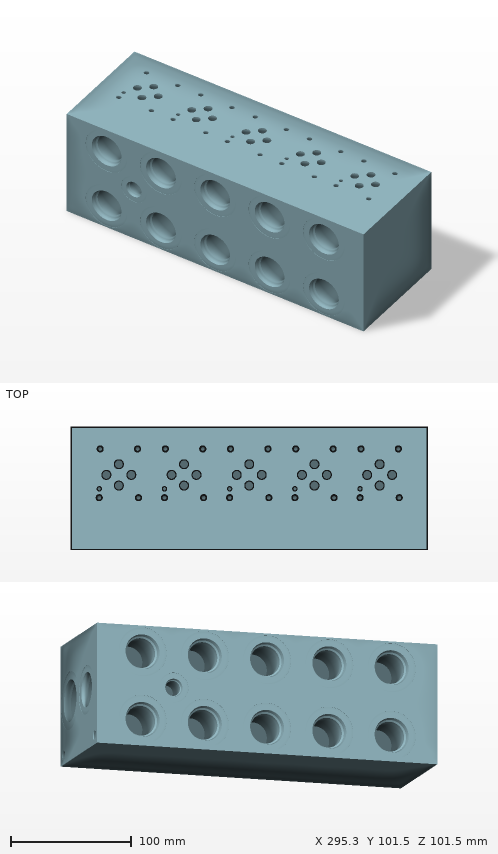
import cadquery as cq
import math

length = 295.3
side = 101.5
half_side = side / 2

station_count = 5
first_station = 39.5
station_pitch = 54.0
station_xs = [first_station + i * station_pitch for i in range(station_count)]

spot_face_depth = 0.3
seat_taper_angle = 12.0
work_port = {"spot": 41.3, "mouth": 29.5, "seat": 4.0, "bore": 25.0, "depth": 41.3}
tank_port = {"spot": 49.0, "mouth": 35.5, "seat": 4.0, "bore": 31.0, "depth": 59.0}
gauge_port = {"spot": 25.0, "mouth": 15.0, "seat": 2.7, "bore": 12.7, "depth": 23.5}

work_port_z = 28.5
gauge_port_x = 66.7
pressure_port_y = -20.7
tank_port_y = 25.5

pattern_y = 11.2
flow_diameter = 7.5
flow_depth = 17.7
flow_half_x = 10.3
flow_half_y = 9.0
pin_diameter = 3.5
pin_depth = 3.5
pin_offset = (-16.2, -11.5)
valve_screw = {"thread": 5.0, "drill": 4.0, "depth": 13.3}
back_screw_spacing = 31.0
back_screw_y = 21.5
front_screw_spacing = 32.5
front_screw_y = -19.0

end_screw = {"thread": 8.0, "drill": 6.5, "depth": 17.7}
end_screw_offset = 42.8

drill_point_angle = 118.0

front_dir = cq.Vector(0, 1, 0)
end_dir = cq.Vector(1, 0, 0)
top_dir = cq.Vector(0, 0, -1)


def revolved_cutter(profile, position, direction):
    """Turn (radius, depth) points into a cutter that enters at position along direction."""
    body = cq.Workplane("XZ").polyline(profile).close().revolve(360, (0, 0, 0), (0, 1, 0))
    across = cq.Vector(0, 0, 1) if direction.z == 0 else cq.Vector(1, 0, 0)
    return body.val().moved(cq.Plane(position, across, direction).location)


def port_cutter(port, position, direction):
    spot, mouth, bore = port["spot"] / 2, port["mouth"] / 2, port["bore"] / 2
    seat_end = spot_face_depth + port["seat"]
    seat_end_radius = mouth - port["seat"] * math.tan(math.radians(seat_taper_angle))
    bore_start = seat_end + seat_end_radius - bore
    profile = [
        (0, 0),
        (spot, 0),
        (spot, spot_face_depth),
        (mouth, spot_face_depth),
        (seat_end_radius, seat_end),
        (bore, bore_start),
        (bore, port["depth"]),
        (0, port["depth"]),
    ]
    return revolved_cutter(profile, position, direction)


def screw_cutter(screw, position, direction):
    thread, drill, depth = screw["thread"] / 2, screw["drill"] / 2, screw["depth"]
    point_height = drill / math.tan(math.radians(drill_point_angle / 2))
    profile = [
        (0, 0),
        (thread, 0),
        (drill, thread - drill),
        (drill, depth),
        (0, depth + point_height),
    ]
    return revolved_cutter(profile, position, direction)


def plain_cutter(diameter, depth, position, direction):
    return cq.Solid.makeCylinder(diameter / 2, depth, cq.Vector(*position), direction)


def front_cutters():
    ports = [
        port_cutter(work_port, (x, -half_side, z), front_dir)
        for x in station_xs
        for z in (-work_port_z, work_port_z)
    ]
    return ports + [port_cutter(gauge_port, (gauge_port_x, -half_side, 0), front_dir)]


def end_cutters():
    screws = [
        screw_cutter(end_screw, (0, y, -end_screw_offset), end_dir)
        for y in (-end_screw_offset, end_screw_offset)
    ]
    ports = [
        port_cutter(tank_port, (0, tank_port_y, 0), end_dir),
        port_cutter(work_port, (0, pressure_port_y, 0), end_dir),
    ]
    return screws + ports


def valve_cutters(station_x):
    def on_top(dx, dy):
        return (station_x + dx, pattern_y + dy, half_side)

    cutters = [plain_cutter(pin_diameter, pin_depth, on_top(*pin_offset), top_dir)]
    for sign in (-1, 1):
        for offset in ((sign * flow_half_x, 0), (0, sign * flow_half_y)):
            cutters.append(plain_cutter(flow_diameter, flow_depth, on_top(*offset), top_dir))
        back_screw = on_top(sign * back_screw_spacing / 2, back_screw_y)
        front_screw = on_top(sign * front_screw_spacing / 2, front_screw_y)
        cutters.append(screw_cutter(valve_screw, back_screw, top_dir))
        cutters.append(screw_cutter(valve_screw, front_screw, top_dir))
    return cutters


block = cq.Workplane("XY").box(length, side, side, centered=(False, True, True))
cutters = front_cutters() + end_cutters()
for station_x in station_xs:
    cutters += valve_cutters(station_x)

result = cq.Workplane(block.val().cut(*cutters).Solids()[0])